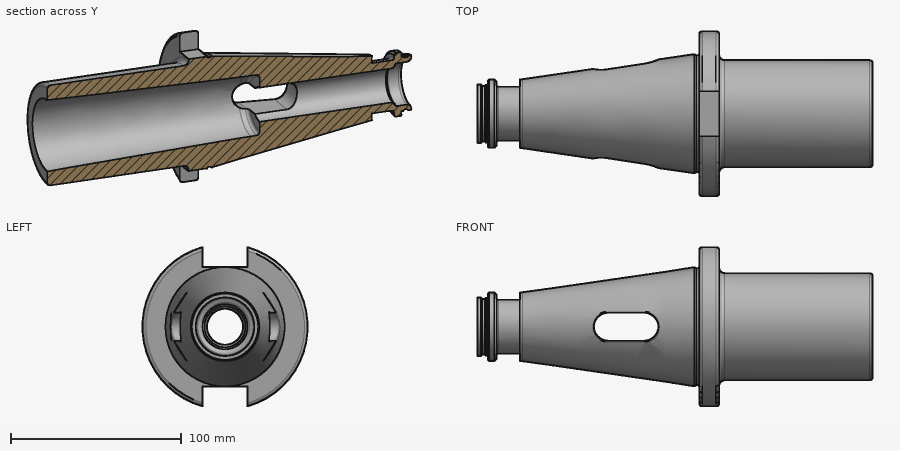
import cadquery as cq


gauge_radius = 69.85 / 2
taper_slope = 7 / 48
nose_x = -126.8
taper_start_x = -101.8
taper_end_x = 0.3
taper_entry_length = 1.3
taper_entry_drop = 0.2

neck_radius = 15.9
lip_radius = 17.2
lip_round = 0.6
lip_length = 2.0
nose_groove_radius = 16.4
nose_groove_length = 3.3
nose_groove_flank = 0.8
land_radius = 17.1
land_length = 1.0
collar_radius = 20.1
collar_length = 5.0
collar_front_chamfer = 0.7
collar_back_chamfer = 1.3
collar_foot = 1.0

flange_front_x = 3.2
flange_width = 11.9
flange_radius = 48.5
flange_round = 2.0
relief_radius = 34.3
relief_start_x = 1.7
relief_round = 0.7
drive_slot_width = 26.25
drive_slot_floor = 35.1

body_radius = 31.5
body_end_x = 105.0
body_round = 2.0
body_root_round = 3.0

socket_mouth_radius = 44.399 / 2
socket_slope = 1 / 19.002 / 2
socket_depth = 135.0
socket_taper_depth = 129.5
socket_end_round = 2.0
drawbar_hole_radius = 10.5
counterbore_radius = 13.2
counterbore_depth = 10.5
counterbore_floor_round = 1.0
drawbar_mouth_radius = 12.0
drawbar_mouth_length = 1.5
counterbore_mouth_round = 3.0

wedge_slot_front_x = -58.4
wedge_slot_back_x = -20.7
wedge_slot_height = 16.2
wedge_slot_edge_round = 0.6


def taper_radius(x):
    return gauge_radius + taper_slope * x


def revolve_about_x(profile):
    return profile.close().revolve(360, (0, 0, 0), (1, 0, 0))


def make_outside():
    lip_end_x = nose_x + lip_length
    groove_end_x = lip_end_x + nose_groove_length
    collar_x = groove_end_x + land_length
    collar_end_x = collar_x + collar_length
    neck_x = collar_end_x + collar_foot
    entry_end_x = taper_start_x + taper_entry_length
    entry_radius = taper_radius(entry_end_x) - taper_entry_drop
    flange_back_x = flange_front_x + flange_width
    profile = (
        cq.Workplane("XY")
        .moveTo(nose_x, 0)
        .lineTo(nose_x, lip_radius - lip_round)
        .radiusArc((nose_x + lip_round, lip_radius), lip_round)
        .lineTo(lip_end_x, lip_radius)
        .lineTo(lip_end_x + nose_groove_flank, nose_groove_radius)
        .lineTo(groove_end_x - nose_groove_flank, nose_groove_radius)
        .lineTo(groove_end_x, land_radius)
        .lineTo(collar_x, land_radius)
        .lineTo(collar_x, collar_radius - collar_front_chamfer)
        .lineTo(collar_x + collar_front_chamfer, collar_radius)
        .lineTo(collar_end_x - collar_back_chamfer, collar_radius)
        .lineTo(collar_end_x, collar_radius - collar_back_chamfer)
        .lineTo(collar_end_x, neck_radius + collar_foot)
        .radiusArc((neck_x, neck_radius), -collar_foot)
        .lineTo(taper_start_x, neck_radius)
        .lineTo(taper_start_x, entry_radius)
        .lineTo(entry_end_x, taper_radius(entry_end_x))
        .lineTo(taper_end_x, taper_radius(taper_end_x))
        .lineTo(relief_start_x, relief_radius)
        .lineTo(flange_front_x - relief_round, relief_radius)
        .radiusArc((flange_front_x, relief_radius + relief_round), -relief_round)
        .lineTo(flange_front_x, flange_radius - flange_round)
        .radiusArc((flange_front_x + flange_round, flange_radius), flange_round)
        .lineTo(flange_back_x - flange_round, flange_radius)
        .radiusArc((flange_back_x, flange_radius - flange_round), flange_round)
        .lineTo(flange_back_x, body_radius + body_root_round)
        .radiusArc((flange_back_x + body_root_round, body_radius), -body_root_round)
        .lineTo(body_end_x - body_round, body_radius)
        .radiusArc((body_end_x, body_radius - body_round), body_round)
        .lineTo(body_end_x, 0)
    )
    return revolve_about_x(profile)


def make_bore():
    socket_end_x = body_end_x - socket_depth
    socket_taper_end_x = body_end_x - socket_taper_depth
    socket_end_radius = socket_mouth_radius - socket_slope * socket_taper_depth
    counterbore_end_x = nose_x + counterbore_depth
    profile = (
        cq.Workplane("XY")
        .moveTo(nose_x, 0)
        .lineTo(nose_x, counterbore_radius + counterbore_mouth_round)
        .radiusArc((nose_x + counterbore_mouth_round, counterbore_radius), -counterbore_mouth_round)
        .lineTo(counterbore_end_x - counterbore_floor_round, counterbore_radius)
        .radiusArc((counterbore_end_x, counterbore_radius - counterbore_floor_round), counterbore_floor_round)
        .lineTo(counterbore_end_x, drawbar_mouth_radius)
        .lineTo(counterbore_end_x + drawbar_mouth_length, drawbar_hole_radius)
        .lineTo(socket_end_x, drawbar_hole_radius)
        .lineTo(socket_end_x, socket_end_radius - socket_end_round)
        .radiusArc((socket_end_x + socket_end_round, socket_end_radius), socket_end_round)
        .lineTo(socket_taper_end_x, socket_end_radius)
        .lineTo(body_end_x, socket_mouth_radius)
        .lineTo(body_end_x, 0)
    )
    return revolve_about_x(profile)


def make_drive_slot(side):
    """Slot across the flange rim, on the +Z side (1) or the -Z side (-1)."""
    depth = flange_radius - drive_slot_floor
    middle_x = flange_front_x + flange_width / 2
    middle_z = side * (drive_slot_floor + depth / 2)
    slot = cq.Workplane("XY").box(flange_width, drive_slot_width, depth)
    return slot.translate((middle_x, 0, middle_z))


def make_wedge_slot():
    length = wedge_slot_back_x - wedge_slot_front_x
    middle_x = (wedge_slot_front_x + wedge_slot_back_x) / 2
    return (
        cq.Workplane("XZ")
        .center(middle_x, 0)
        .slot2D(length, wedge_slot_height)
        .extrude(gauge_radius, both=True)
    )


def wedge_slot_rim(side):
    """Selector for the slot's rim on the taper, on the +Y side (1) or the -Y side (-1)."""
    near_corner = (wedge_slot_front_x, 0, -wedge_slot_height)
    far_corner = (wedge_slot_back_x, side * gauge_radius, wedge_slot_height)
    return cq.selectors.BoxSelector(near_corner, far_corner)


slotted_body = make_outside().cut(make_wedge_slot())
slotted_body = slotted_body.edges(wedge_slot_rim(1) + wedge_slot_rim(-1)).fillet(wedge_slot_edge_round)

result = slotted_body.cut(make_bore())
for side in (1, -1):
    result = result.cut(make_drive_slot(side))